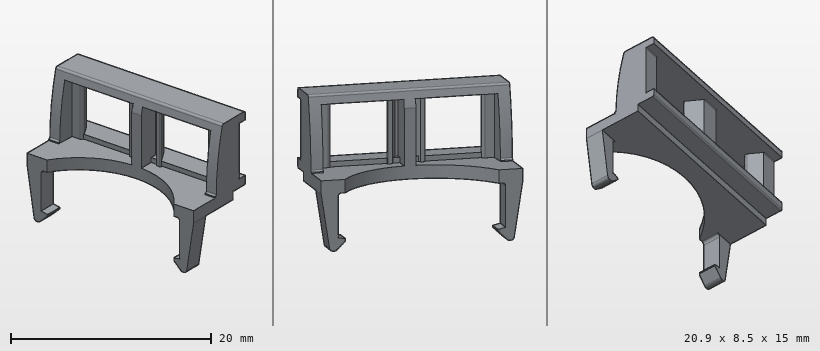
import cadquery as cq
import math

length = 20.9
depth = 8.5
height = 15.03
half_length = length / 2

shelf_bottom = 5.9
shelf_top = 7.27
rail_size = 1.0
frame_back = depth - rail_size
shelf_back = depth - 2 * rail_size
lower_rail_bottom = 6.81
lower_rail_top = lower_rail_bottom + rail_size
upper_rail_bottom = height - rail_size
frame_front = 3.72
front_radius = 30.0
top_front_fillet = 0.3
top_back_fillet = 0.27
lower_rail_fillet = 0.19
slot_fillet = 0.08
foot_step = 0.13
foot_radius = 0.19

arch_half_width = 7.96
arch_rise = 4.3

rib_half = 0.6
pocket_back = 5.65
pocket_outer_back = 9.11
pocket_outer_front = 9.2
sill_front = 5.9
flare = math.tan(math.radians(30))
window_inner = 2.05
window_outer = 7.63
inner_jamb_fillet = 0.1
outer_jamb_fillet = 0.3
groove_front = 1.46
groove_back = 0.88

leg_depth = 2.0
leg_inner = 8.67
leg_outer_tip = 9.53
leg_inner_tip = 8.95
hook_reach = 7.88
hook_root_top = 1.35
hook_tip_top = 1.2
hook_tip_bottom = 1.02
leg_tip_fillet = 0.38
leg_root_fillet = 0.31

overshoot = 0.2


def front_y(z):
    """Y of the bulged front face, which is upright at the shelf top."""
    rise = z - shelf_top
    return frame_front + front_radius - math.sqrt(front_radius**2 - rise**2)


def make_body():
    foot_top = shelf_top + foot_step + foot_radius
    foot_front = front_y(foot_top) - foot_radius
    foot_arc_offset = foot_radius * math.sqrt(0.5)
    middle_z = (height + foot_top) / 2
    body = (
        cq.Workplane("YZ")
        .moveTo(0, shelf_bottom)
        .lineTo(shelf_back, shelf_bottom)
        .lineTo(shelf_back, lower_rail_bottom)
        .lineTo(depth, lower_rail_bottom)
        .lineTo(depth, lower_rail_top)
        .lineTo(frame_back, lower_rail_top)
        .lineTo(frame_back, upper_rail_bottom)
        .lineTo(depth, upper_rail_bottom)
        .lineTo(depth, height)
        .lineTo(front_y(height), height)
        .threePointArc((front_y(middle_z), middle_z), (front_y(foot_top), foot_top))
        .threePointArc(
            (foot_front + foot_arc_offset, foot_top - foot_arc_offset),
            (foot_front, shelf_top + foot_step),
        )
        .lineTo(foot_front, shelf_top)
        .lineTo(0, shelf_top)
        .close()
        .extrude(half_length, both=True)
    )
    rounded_edges = (
        (front_y(height), height, top_front_fillet),
        (depth, height, top_back_fillet),
        (depth, lower_rail_bottom, lower_rail_fillet),
        (frame_back, upper_rail_bottom, slot_fillet),
    )
    for y, z, radius in rounded_edges:
        edge = body.edges(cq.selectors.NearestToPointSelector((0, y, z)))
        body = edge.fillet(radius)
    return body


def prism(points, bottom):
    """Upright cutter from the given height to the top of the openings."""
    plane = cq.Workplane("XY").workplane(offset=bottom)
    return plane.polyline(points).close().extrude(upper_rail_bottom - bottom)


def make_opening():
    """Cutter for the opening on the +X side."""
    draft = (pocket_outer_front - pocket_outer_back) / (pocket_back - frame_front)
    pocket = prism(
        [
            (rib_half, 0),
            (pocket_outer_back + draft * pocket_back, 0),
            (pocket_outer_back, pocket_back),
            (rib_half, pocket_back),
        ],
        shelf_top,
    )

    window_back = frame_back + overshoot
    spread = flare * (window_back - pocket_back)
    window = prism(
        [
            (window_inner, pocket_back),
            (window_outer, pocket_back),
            (window_outer + spread, window_back),
            (window_inner - spread, window_back),
        ],
        shelf_top,
    )

    groove_end = pocket_back + (groove_front - groove_back) / flare
    groove = prism(
        [
            (rib_half, pocket_back),
            (groove_front, pocket_back),
            (groove_back, groove_end),
            (rib_half, groove_end),
        ],
        shelf_top,
    )
    opening = pocket.union(window).union(groove)

    for x, radius in ((window_inner, inner_jamb_fillet), (window_outer, outer_jamb_fillet)):
        corner = (x, pocket_back, (shelf_top + upper_rail_bottom) / 2)
        opening = opening.edges(cq.selectors.NearestToPointSelector(corner)).fillet(radius)

    sill = cq.Workplane("XY").box(
        half_length, depth, lower_rail_top - shelf_top, centered=False
    )
    return opening.cut(sill.translate((0, sill_front, shelf_top)))


def make_leg():
    """Snap leg on the +X side, with its hook pointing inwards."""
    root_end = leg_inner - leg_root_fillet
    arc_offset = leg_root_fillet * (1 - math.sqrt(0.5))
    leg = (
        cq.Workplane("XZ")
        .moveTo(half_length, shelf_top)
        .lineTo(half_length, shelf_bottom)
        .lineTo(leg_outer_tip, 0)
        .lineTo(leg_inner_tip, 0)
        .lineTo(hook_reach, hook_tip_bottom)
        .lineTo(hook_reach, hook_tip_top)
        .lineTo(leg_inner, hook_root_top)
        .lineTo(leg_inner, shelf_bottom - leg_root_fillet)
        .threePointArc(
            (leg_inner - arc_offset, shelf_bottom - arc_offset),
            (root_end, shelf_bottom),
        )
        .lineTo(root_end, shelf_top)
        .close()
        .extrude(-leg_depth)
    )
    return leg.faces("<Z").edges("|Y").fillet(leg_tip_fillet)


def make_arch():
    radius = (arch_half_width**2 + arch_rise**2) / (2 * arch_rise)
    return cq.Workplane("XY").center(0, arch_rise - radius).circle(radius).extrude(height)


opening = make_opening()
leg = make_leg()
result = (
    make_body()
    .cut(opening)
    .cut(opening.mirror("YZ"))
    .union(leg)
    .union(leg.mirror("YZ"))
    .cut(make_arch())
)